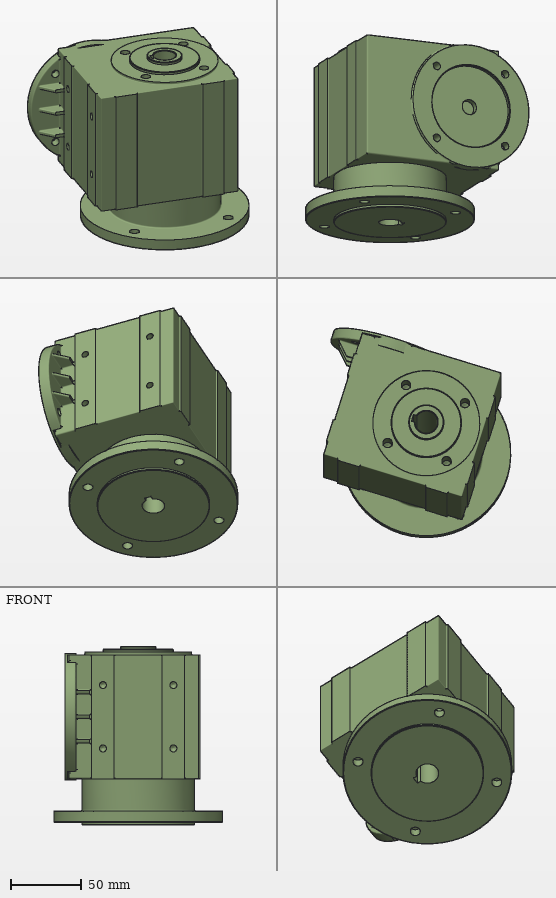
import cadquery as cq
import math


flange_dia = 120.0
pilot_dia = 80.0
pilot_height = 2.0
flange_thickness = 8.0
flange_top = pilot_height + flange_thickness
edge_chamfer = 0.5
neck_fillet = 1.0
flange_bolt_circle = 100.0
flange_hole_dia = 7.0

housing_left = -51.0
corner_left = -49.2
housing_right = 43.0
housing_front = -63.0
housing_back = 40.0
housing_bottom = 33.0
housing_height = 88.0
housing_top = housing_bottom + housing_height
housing_mid_y = (housing_front + housing_back) / 2
housing_mid_z = housing_bottom + housing_height / 2
housing_fillet = 0.5
motor_end_fillet = 1.0

pad_width = 16.0
pad_height = 1.0
pad_inset = 2.0
pad_spacing_x = 50.0
pad_spacing_y = 65.4
pad_root_fillet = 0.5
pad_hole_dia = 4.92
pad_hole_spacing_z = 45.0
pad_hole_depth = 12.0

cover_steps = [(76.0, 2.0), (50.0, 4.0), (25.0, 6.0)]
cover_chamfer = 0.5
cover_root_fillet = 0.5
cover_bolt_circle = 62.0
cover_hole_dia = 6.65
cover_hole_depth = 15.0

bore_dia = 16.0
bore_chamfer = 0.5
key_width = 5.0
key_depth = 2.3

motor_y = -40.0
motor_radius = 45.0
motor_stand_out = 1.0
motor_face = housing_left - motor_stand_out
motor_thickness = 8.0
motor_back = motor_face + motor_thickness
motor_fillet = 1.0
motor_rim_fillet = 1.0
motor_pilot_dia = 60.0
motor_pilot_depth = 3.0
motor_pilot_chamfer = 0.5
motor_bolt_circle = 75.0
motor_hole_dia = 5.5
motor_hole_depth = 15.0
motor_shaft_dia = 11.0
motor_shaft_depth = 8.0

rib_count = 3
rib_spacing = 17.5
rib_thickness = 2.4
rib_end_x = -34.4
rib_straight = 7.0
rib_reach = 16.0
rib_edge_fillet = 0.7
rib_root_fillet = 0.8

drill_tip_angle = 118.0
diagonal = math.sqrt(0.5)


def box_between(x_range, y_range, z_range):
    """Axis-aligned box given by its limits."""
    size = [high - low for low, high in (x_range, y_range, z_range)]
    corner = (x_range[0], y_range[0], z_range[0])
    return cq.Workplane("XY").box(*size, centered=False).translate(corner)


def motor_plane(x):
    """Plane facing -X at the given x, centred on the motor axis; local X is -Y and local Y is +Z."""
    return cq.Workplane(cq.Plane(origin=(x, motor_y, housing_mid_z), xDir=(0, -1, 0), normal=(-1, 0, 0)))


def drill(start, direction, diameter, depth):
    """Blind drilled hole with a conical tip."""
    radius = diameter / 2
    tip = radius / math.tan(math.radians(drill_tip_angle / 2))
    shank = cq.Solid.makeCylinder(radius, depth, start, direction)
    cone = cq.Solid.makeCone(radius, 0, tip, start + direction * depth, direction)
    return cq.Workplane(shank.fuse(cone))


def output_flange():
    pilot = cq.Workplane("XY").circle(pilot_dia / 2).extrude(flange_top).faces("<Z").chamfer(edge_chamfer)
    plate = cq.Workplane("XY", origin=(0, 0, pilot_height)).circle(flange_dia / 2).extrude(flange_thickness)
    plate = plate.faces("<Z").chamfer(edge_chamfer)
    neck_height = housing_bottom - flange_top
    neck = cq.Workplane("XY", origin=(0, 0, flange_top)).circle(pilot_dia / 2).extrude(neck_height)
    flange = pilot.union(plate).union(neck)
    top_face = flange.faces(cq.selectors.NearestToPointSelector((0, 0, flange_top)))
    flange = top_face.edges(cq.selectors.RadiusNthSelector(0)).fillet(neck_fillet)
    offset = flange_bolt_circle * diagonal
    holes = cq.Workplane("XY").rect(offset, offset, forConstruction=True).vertices()
    return flange.cut(holes.circle(flange_hole_dia / 2).extrude(flange_top))


def rounded_box(x_range, y_range, radius):
    """Full-height housing box with all edges rounded."""
    return box_between(x_range, y_range, (housing_bottom, housing_top)).edges().fillet(radius)


def side_pad(center, face, turns):
    """Full-height pad with concave root fillets, set on a +Y face and then given quarter turns about Z."""
    half = pad_width / 2
    root = half + pad_root_fillet
    return (
        cq.Workplane("XY", origin=(0, 0, housing_bottom))
        .moveTo(center - root, face - pad_inset)
        .lineTo(center - root, face)
        .radiusArc((center - half, face + pad_root_fillet), -pad_root_fillet)
        .lineTo(center - half, face + pad_height)
        .lineTo(center + half, face + pad_height)
        .lineTo(center + half, face + pad_root_fillet)
        .radiusArc((center + root, face), -pad_root_fillet)
        .lineTo(center + root, face - pad_inset)
        .close()
        .extrude(housing_height)
        .rotate((0, 0, 0), (0, 0, 1), 90 * turns)
    )


def housing_block():
    y_range = (housing_front, housing_back)
    joint_x = -pad_spacing_x / 2
    joint_left = joint_x - pad_width / 4
    joint_right = joint_x + pad_width / 4
    block = rounded_box((joint_left, housing_right), y_range, housing_fillet)
    block = block.union(rounded_box((corner_left, joint_right), y_range, motor_end_fillet))
    block = block.union(rounded_box((housing_left, joint_right), (motor_y, housing_back), motor_end_fillet))
    rear_left = housing_left + motor_end_fillet
    block = block.union(rounded_box((rear_left, joint_right), (motor_y, housing_back), housing_fillet))
    for side in (-1, 1):
        pad_x = side * pad_spacing_x / 2
        pad_y = housing_mid_y + side * pad_spacing_y / 2
        block = block.union(side_pad(pad_x, housing_back, 0))
        block = block.union(side_pad(pad_x, -housing_front, 2))
        block = block.union(side_pad(-pad_y, housing_right, 3))
    return block


def pad_holes():
    holes = cq.Workplane()
    for side_x in (-1, 1):
        for side_z in (-1, 1):
            x = side_x * pad_spacing_x / 2
            z = housing_mid_z + side_z * pad_hole_spacing_z / 2
            start = cq.Vector(x, housing_front - pad_height, z)
            holes = holes.add(drill(start, cq.Vector(0, 1, 0), pad_hole_dia, pad_hole_depth))
    return holes.combine()


def cover_root_ring():
    """Concave fillet ring where the widest cover step meets the housing top."""
    radius = cover_steps[0][0] / 2
    return (
        cq.Workplane("XZ", origin=(0, 0, housing_top))
        .moveTo(radius, 0)
        .lineTo(radius + cover_root_fillet, 0)
        .radiusArc((radius, cover_root_fillet), cover_root_fillet)
        .close()
        .revolve(360, (0, 0, 0), (0, 1, 0))
    )


def cover():
    body = cq.Workplane("XY")
    base_height = cover_steps[0][1]
    for diameter, height in cover_steps:
        step = cq.Workplane("XY", origin=(0, 0, housing_top)).circle(diameter / 2).extrude(height)
        if height > base_height:
            step = step.faces(">Z").chamfer(cover_chamfer)
        body = body.union(step)
    return body.union(cover_root_ring())


def cover_holes():
    offset = cover_bolt_circle / 2 * diagonal
    start_z = housing_top + cover_steps[0][1]
    holes = cq.Workplane()
    for side_x in (-1, 1):
        for side_y in (-1, 1):
            start = cq.Vector(side_x * offset, side_y * offset, start_z)
            holes = holes.add(drill(start, cq.Vector(0, 0, -1), cover_hole_dia, cover_hole_depth))
    return holes.combine()


def shaft_bore():
    """Keyed bore through the whole part, opened by a chamfer at the top."""
    top = housing_top + cover_steps[-1][1]
    radius = bore_dia / 2
    bore = cq.Workplane("XY").circle(radius).extrude(top)
    key = box_between((-key_width / 2, key_width / 2), (-radius - key_depth, 0), (0, top))
    mouth_start = cq.Vector(0, 0, top - bore_chamfer)
    mouth = cq.Solid.makeCone(radius, radius + bore_chamfer, bore_chamfer, mouth_start)
    return bore.union(key).union(cq.Workplane(mouth))


def motor_collar(wall_x, y_range):
    """Concave fillet around the flange rim where it stands out of a left wall at wall_x."""
    outer = motor_radius + motor_fillet
    ring = (
        cq.Workplane("XY")
        .moveTo(wall_x - motor_fillet, motor_radius)
        .radiusArc((wall_x, outer), -motor_fillet)
        .lineTo(wall_x + motor_end_fillet, outer)
        .lineTo(wall_x + motor_end_fillet, motor_radius)
        .close()
        .revolve(360, (0, 0, 0), (1, 0, 0))
        .translate((0, motor_y, housing_mid_z))
    )
    z_range = (housing_bottom, housing_top)
    return ring.intersect(box_between((motor_face, motor_back), y_range, z_range))


def motor_flange():
    disc = motor_plane(motor_back).circle(motor_radius).extrude(motor_thickness)
    over_housing = box_between(
        (motor_face, motor_back),
        (housing_front, motor_y + motor_radius),
        (housing_mid_z - motor_radius, housing_mid_z + motor_radius),
    )
    flange = disc.intersect(over_housing).union(disc.faces(">X").edges().fillet(motor_rim_fillet))
    flange = flange.union(motor_collar(housing_left, (motor_y, housing_back)))
    return flange.union(motor_collar(corner_left, (housing_front, motor_y)))


def motor_corner_fillet():
    """Concave fillet along the corner between the motor flange's back and the housing front."""
    back_radius = motor_radius - motor_rim_fillet
    half_chord = math.sqrt(back_radius**2 - (motor_y - housing_front) ** 2)
    return (
        cq.Workplane("XY", origin=(0, 0, housing_mid_z - half_chord))
        .moveTo(motor_back, housing_front)
        .lineTo(motor_back, housing_front - motor_fillet)
        .radiusArc((motor_back + motor_fillet, housing_front), motor_fillet)
        .close()
        .extrude(2 * half_chord)
    )


def motor_ribs():
    ribs = cq.Workplane("XY")
    slope_middle = ((motor_back + rib_end_x) / 2, housing_front - (rib_straight + rib_reach) / 2)
    for index in range(rib_count):
        z = housing_mid_z + (index - (rib_count - 1) / 2) * rib_spacing
        rib = (
            cq.Workplane("XY", origin=(0, 0, z))
            .moveTo(motor_back, housing_front)
            .lineTo(rib_end_x, housing_front)
            .lineTo(rib_end_x, housing_front - rib_straight)
            .lineTo(motor_back, housing_front - rib_reach)
            .close()
            .extrude(rib_thickness / 2, both=True)
        )
        rib = rib.faces(cq.selectors.NearestToPointSelector(slope_middle + (z,))).edges("not |Z")
        rib = rib.fillet(rib_edge_fillet)
        ribs = ribs.union(rib)
    return ribs


def fillet_rib_roots(body):
    """Concave fillets where the ribs meet the housing front and the flange's back."""
    half_height = rib_count * rib_spacing / 2
    tolerance = 0.01
    front_zone = cq.selectors.BoxSelector(
        (motor_back + tolerance, housing_front - tolerance, housing_mid_z - half_height),
        (rib_end_x + tolerance, housing_front + tolerance, housing_mid_z + half_height),
    )
    back_zone = cq.selectors.BoxSelector(
        (motor_back - tolerance, housing_front - rib_reach - tolerance, housing_mid_z - half_height),
        (motor_back + tolerance, housing_front - tolerance, housing_mid_z + half_height),
    )
    return body.edges(front_zone + back_zone).fillet(rib_root_fillet)


def motor_openings():
    pilot = motor_plane(motor_face).circle(motor_pilot_dia / 2).extrude(-motor_pilot_depth)
    shaft = motor_plane(motor_face).circle(motor_shaft_dia / 2).extrude(-motor_shaft_depth)
    pilot_radius = motor_pilot_dia / 2
    mouth = cq.Solid.makeCone(
        pilot_radius + motor_pilot_chamfer,
        pilot_radius,
        motor_pilot_chamfer,
        cq.Vector(motor_face, motor_y, housing_mid_z),
        cq.Vector(1, 0, 0),
    )
    openings = pilot.union(shaft).union(cq.Workplane(mouth))
    offset = motor_bolt_circle / 2 * diagonal
    for side_y in (-1, 1):
        for side_z in (-1, 1):
            start = cq.Vector(motor_face, motor_y + side_y * offset, housing_mid_z + side_z * offset)
            openings = openings.union(drill(start, cq.Vector(1, 0, 0), motor_hole_dia, motor_hole_depth))
    return openings


housing = housing_block().union(motor_flange())
housing = fillet_rib_roots(housing.union(motor_ribs()))
result = housing.union(motor_corner_fillet()).union(output_flange()).union(cover())
result = result.cut(pad_holes()).cut(cover_holes()).cut(shaft_bore()).cut(motor_openings())